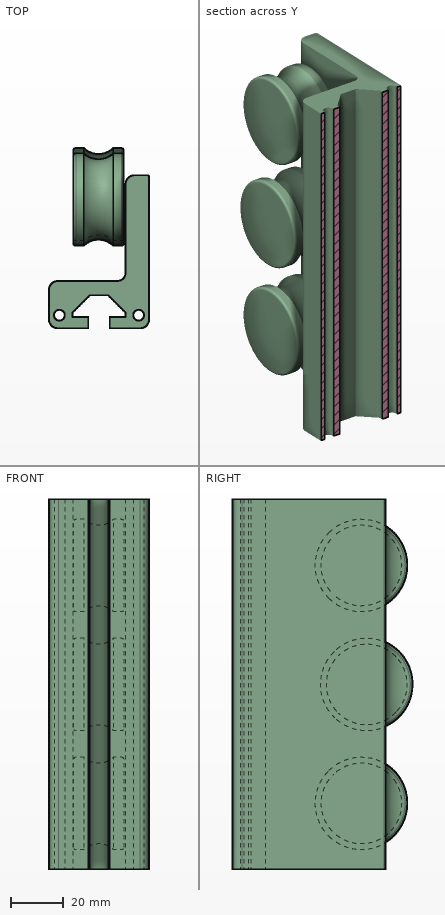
import cadquery as cq

rail_length = 140.0
foot_width = 38.0
foot_depth = 18.0
wall_height = 58.0
wall_thickness = 9.0
wall_face_x = foot_width - wall_thickness
outer_radius = 3.5
inner_radius = 3.0
wall_tip_radius = 0.8

slot_center_x = foot_width / 2
slot_mouth_width = 8.0
slot_inner_width = 20.0
slot_roof_width = 7.0
slot_lip = 4.4
slot_shoulder_y = 6.0
slot_roof_y = 12.5

end_hole_diameter = 4.0
end_hole_inset_x = 4.0
end_hole_y = 5.0

roller_diameter = 35.0
roller_width = 19.1
roller_gap = 0.65
roller_left_x = wall_face_x - roller_gap - roller_width
roller_edge_radius = 1.0
groove_width = 11.2
groove_depth = 2.25

roller_spacing = 45.0
middle_roller_y = 50.75
middle_roller_offset = 2.0


def round_edges(body, points, radius):
    """Fillet the lengthwise edges of the rail that pass nearest the given XY points."""
    edges = []
    for x, y in points:
        nearest = cq.selectors.NearestToPointSelector((x, y, rail_length / 2))
        edges.append(body.edges("|Z").edges(nearest).val())
    return body.newObject(edges).fillet(radius)


def make_rail_blank():
    """L-shaped bar with its lengthwise edges rounded."""
    blank = (
        cq.Workplane("XY")
        .polyline([
            (0, 0),
            (foot_width, 0),
            (foot_width, wall_height),
            (wall_face_x, wall_height),
            (wall_face_x, foot_depth),
            (0, foot_depth),
        ])
        .close()
        .extrude(rail_length)
    )

    outer_corners = [(0, 0), (foot_width, 0), (0, foot_depth), (wall_face_x, wall_height)]
    blank = round_edges(blank, outer_corners, outer_radius)
    blank = round_edges(blank, [(wall_face_x, foot_depth)], inner_radius)
    return round_edges(blank, [(foot_width, wall_height)], wall_tip_radius)


def make_slot():
    """T-slot cutter: a straight mouth opening into a chamber with a sloped roof."""
    half_mouth = slot_mouth_width / 2
    half_inner = slot_inner_width / 2
    half_roof = slot_roof_width / 2
    return (
        cq.Workplane("XY", origin=(slot_center_x, 0, 0))
        .polyline([
            (half_mouth, 0),
            (half_mouth, slot_lip),
            (half_inner, slot_lip),
            (half_inner, slot_shoulder_y),
            (half_roof, slot_roof_y),
            (-half_roof, slot_roof_y),
            (-half_inner, slot_shoulder_y),
            (-half_inner, slot_lip),
            (-half_mouth, slot_lip),
            (-half_mouth, 0),
        ])
        .close()
        .extrude(rail_length)
    )


def make_end_holes():
    """Cutters for the two holes through the whole length of the rail."""
    centers = [(end_hole_inset_x, end_hole_y), (foot_width - end_hole_inset_x, end_hole_y)]
    return cq.Workplane("XY").pushPoints(centers).circle(end_hole_diameter / 2).extrude(rail_length)


def make_rail():
    return make_rail_blank().cut(make_slot()).cut(make_end_holes())


def make_roller(center_y, center_z):
    """Disc revolved about X, with a round groove between two rims."""
    radius = roller_diameter / 2
    rim_width = (roller_width - groove_width) / 2
    profile = (
        cq.Workplane("XY")
        .lineTo(0, radius)
        .lineTo(rim_width, radius)
        .threePointArc(
            (roller_width / 2, radius - groove_depth),
            (roller_width - rim_width, radius),
        )
        .lineTo(roller_width, radius)
        .lineTo(roller_width, 0)
        .close()
    )
    roller = profile.revolve(360, (0, 0, 0), (1, 0, 0))
    roller = roller.faces("<X or >X").edges().fillet(roller_edge_radius)
    return roller.translate((roller_left_x, center_y, center_z))


rail = make_rail()

rollers = []
for position in (-1, 0, 1):
    center_y = middle_roller_y - abs(position) * middle_roller_offset
    center_z = rail_length / 2 + position * roller_spacing
    rollers.append(make_roller(center_y, center_z))

result = cq.Compound.makeCompound([rail.val(), *[roller.val() for roller in rollers]])